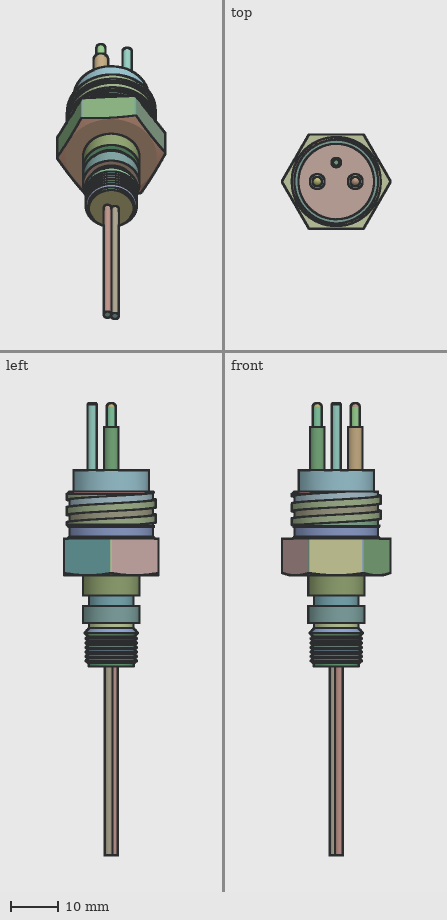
import cadquery as cq
import math

lower_thread_bottom = 39.7
lower_lip_height = 46.8
neck_bottom = 47.8
neck_top = 48.9
flange_top = 52.5
groove_top = 54.7
nut_bottom = 58.9
nut_top = 66.7
upper_thread_bottom = 69.1
housing_top = 76.6
insert_top = 81.1
sleeve_top = 90.3
pin_top = 95.3

nut_across_flats = 19.9
nut_corner_radius = 0.4
nut_chamfer_height = 0.6
nut_chamfer_bottom_radius = 9.6

upper_root_diameter = 17.6
upper_lip_diameter = 18.0
upper_lip_height = 0.3
upper_crest_diameter = 18.8
upper_pitch = 3.17
upper_crest_width = 1.6
upper_thread_turns = 4
upper_thread_start = 65.4
upper_thread_overlap = 0.3
nut_seat_chamfer = 0.4

collar_diameter = 11.9
groove_diameter = 9.4
lower_crest_diameter = 10.9
lower_root_diameter = 9.7
lower_lip_diameter = 11.2
lower_ring_count = 6
lower_ring_pitch = 0.93
lower_end_chamfer_height = 0.8

insert_diameter = 15.9
sleeve_diameter = 3.1
pin_diameter = 2.0
pin_offset = 4.0
pin_dome_height = 1.0
guide_pin_chamfer = 0.33
wire_diameter = 1.6

contact_positions = [(-pin_offset, 0), (pin_offset, 0)]
guide_position = (0, pin_offset)


def cylinder(diameter, bottom, top, position=(0, 0)):
    return (
        cq.Workplane("XY", origin=(0, 0, bottom))
        .center(*position)
        .circle(diameter / 2)
        .extrude(top - bottom)
    )


def revolved(profile):
    """Turn a closed outline of (radius, height) points about the Z axis."""
    return cq.Workplane("XZ").polyline(profile).close().revolve(360, (0, 0), (0, 1))


def make_nut():
    corner_diameter = nut_across_flats / math.cos(math.pi / 6)
    height = nut_top - nut_bottom
    hexagon = (
        cq.Workplane("XY", origin=(0, 0, nut_bottom))
        .polygon(6, corner_diameter)
        .extrude(height)
        .edges("|Z")
        .fillet(nut_corner_radius)
    )
    corner_radius = corner_diameter / 2
    envelope = revolved([
        (0, nut_bottom),
        (nut_chamfer_bottom_radius, nut_bottom),
        (corner_radius, nut_bottom + nut_chamfer_height),
        (corner_radius, nut_top),
        (0, nut_top),
    ])
    return hexagon.intersect(envelope)


def make_upper_thread():
    """Helical ridge, trimmed to the threaded length and chamfered at both ends."""
    inner_radius = upper_root_diameter / 2 - upper_thread_overlap
    crest_radius = upper_crest_diameter / 2
    path = cq.Wire.makeHelix(
        upper_pitch,
        upper_pitch * upper_thread_turns,
        inner_radius,
        cq.Vector(0, 0, upper_thread_start),
    )
    ridge = (
        cq.Workplane("XZ")
        .center((inner_radius + crest_radius) / 2, upper_thread_start)
        .rect(crest_radius - inner_radius, upper_crest_width)
        .sweep(cq.Workplane(path), isFrenet=True)
    )
    end_radius = upper_root_diameter / 2
    cone_height = 2 * (crest_radius - end_radius)
    rim_radius = end_radius + cone_height
    envelope = revolved([
        (0, upper_thread_bottom),
        (end_radius, upper_thread_bottom),
        (rim_radius, upper_thread_bottom + cone_height),
        (rim_radius, housing_top - cone_height),
        (end_radius, housing_top),
        (0, housing_top),
    ])
    return ridge.intersect(envelope)


def make_upper_body():
    """Threaded core with a small cone at the nut and a thin lip where the thread ends."""
    root_radius = upper_root_diameter / 2
    core = revolved([
        (0, nut_top),
        (root_radius + nut_seat_chamfer, nut_top),
        (root_radius, nut_top + nut_seat_chamfer),
        (root_radius, housing_top),
        (0, housing_top),
    ])
    lip_top = upper_thread_bottom + upper_lip_height
    return core.union(cylinder(upper_lip_diameter, upper_thread_bottom, lip_top))


def make_lower_stem():
    stem = cylinder(groove_diameter, neck_bottom, nut_bottom)
    stem = stem.union(cylinder(collar_diameter, groove_top, nut_bottom))
    return stem.union(cylinder(collar_diameter, neck_top, flange_top))


def make_lower_thread():
    """Stack of V-shaped rings below a slightly wider lip that tapers up to the neck."""
    end_radius = groove_diameter / 2
    root_radius = lower_root_diameter / 2
    crest_radius = lower_crest_diameter / 2
    first_ring_bottom = lower_thread_bottom + lower_end_chamfer_height
    profile = [
        (0, lower_thread_bottom),
        (end_radius, lower_thread_bottom),
        (root_radius, first_ring_bottom),
    ]
    for ring in range(lower_ring_count):
        ring_bottom = first_ring_bottom + ring * lower_ring_pitch
        profile.append((crest_radius, ring_bottom + lower_ring_pitch / 2))
        profile.append((root_radius, ring_bottom + lower_ring_pitch))
    profile += [
        (lower_lip_diameter / 2, lower_lip_height),
        (end_radius, neck_bottom),
        (0, neck_bottom),
    ]
    return revolved(profile)


def make_housing():
    housing = make_upper_body().union(make_upper_thread())
    for section in (make_nut(), make_lower_stem(), make_lower_thread()):
        housing = housing.union(section)
    return housing


def make_insert():
    """Moulded disc with a sleeve round each contact pin."""
    insert = cylinder(insert_diameter, housing_top, insert_top)
    for position in contact_positions:
        insert = insert.union(cylinder(sleeve_diameter, insert_top, sleeve_top, position))
    for position in [*contact_positions, guide_position]:
        insert = insert.cut(cylinder(pin_diameter, housing_top, pin_top, position))
    return insert


def make_contact_pin(position):
    """Round pin with a domed tip."""
    radius = pin_diameter / 2
    shoulder = pin_top - pin_dome_height
    dome_radius = (radius**2 + pin_dome_height**2) / (2 * pin_dome_height)
    dome_angle = math.asin(radius / dome_radius) / 2
    dome_centre = pin_top - dome_radius
    dome_middle = (
        dome_radius * math.sin(dome_angle),
        dome_centre + dome_radius * math.cos(dome_angle),
    )
    pin = (
        cq.Workplane("XZ")
        .moveTo(0, housing_top)
        .lineTo(radius, housing_top)
        .lineTo(radius, shoulder)
        .threePointArc(dome_middle, (0, pin_top))
        .close()
        .revolve(360, (0, 0), (0, 1))
    )
    return pin.translate((*position, 0))


def make_guide_pin():
    pin = cylinder(pin_diameter, housing_top, pin_top, guide_position)
    return pin.faces(">Z").chamfer(guide_pin_chamfer)


def make_wire(side):
    """One of two touching wires, set diagonally about the axis."""
    offset = side * wire_diameter / 2 * math.sqrt(0.5)
    return cylinder(wire_diameter, 0, lower_thread_bottom, (offset, -offset))


housing = make_housing()
insert = make_insert()
contact_pins = [make_contact_pin(position) for position in contact_positions]
guide_pin = make_guide_pin()
wires = [make_wire(side) for side in (-1, 1)]

result = cq.Compound.makeCompound([
    housing.val(),
    insert.val(),
    *[pin.val() for pin in contact_pins],
    guide_pin.val(),
    *[wire.val() for wire in wires],
])